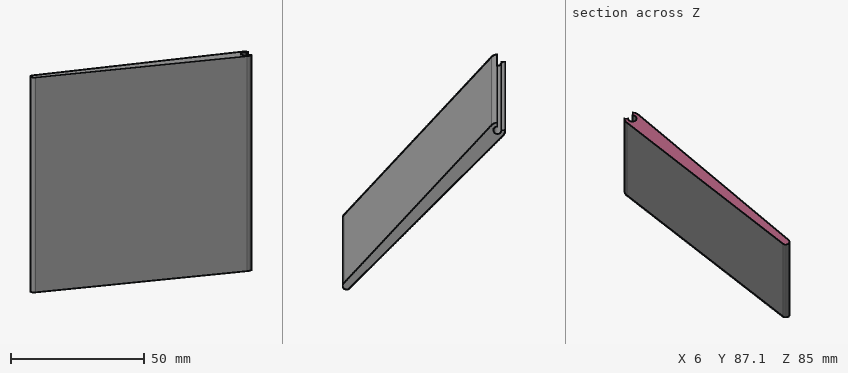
import cadquery as cq
import math

length = 87.1
height = 85.0
thickness = 6.0
head_radius = thickness / 2
groove_radius = 1.5
edge_radius = 1.5
mouth_half_angle = math.radians(45)

head_y = length / 2 - head_radius * math.cos(mouth_half_angle)
edge_y = -length / 2 + edge_radius

taper = math.asin((head_radius - edge_radius) / (head_y - edge_y))
tangent_angle = math.pi / 2 + taper
edge_tangent_x = edge_radius * math.cos(taper)
edge_tangent_y = edge_y - edge_radius * math.sin(taper)


def head_point(radius, angle, side):
    """Point on a circle about the head centre, at an angle from +Y."""
    return (side * radius * math.sin(angle), head_y + radius * math.cos(angle))


def tapered_profile():
    """Tapered plate section with an open round groove in its thick edge."""
    lip_angle = (mouth_half_angle + tangent_angle) / 2
    return (
        cq.Workplane("XY")
        .moveTo(-edge_tangent_x, edge_tangent_y)
        .threePointArc((0, -length / 2), (edge_tangent_x, edge_tangent_y))
        .lineTo(*head_point(head_radius, tangent_angle, 1))
        .threePointArc(
            head_point(head_radius, lip_angle, 1),
            head_point(head_radius, mouth_half_angle, 1),
        )
        .lineTo(*head_point(groove_radius, mouth_half_angle, 1))
        .threePointArc(
            (0, head_y - groove_radius),
            head_point(groove_radius, mouth_half_angle, -1),
        )
        .lineTo(*head_point(head_radius, mouth_half_angle, -1))
        .threePointArc(
            head_point(head_radius, lip_angle, -1),
            head_point(head_radius, tangent_angle, -1),
        )
        .close()
    )


result = tapered_profile().extrude(height / 2, both=True)